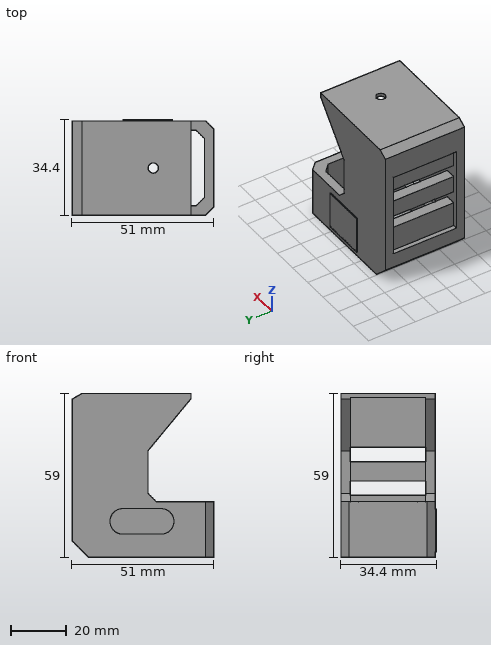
import cadquery as cq

length = 51.0
height = 59.0
depth = 34.0
center_y = depth / 2

top_length = 42.7
column_length = 27.25
base_height = 20.05
shoulder = 3.0
slope_bottom = 38.35
roof_thickness = 1.5
tip_height = 1.95
bottom_chamfer = 5.9
top_chamfer_x = 3.5
top_chamfer_z = 2.0
corner_chamfer = 3.0

wall = 3.5
inner_depth = depth - 2 * wall
inner_chamfer = 2.9
recess = 1.8
front_thickness = 6.0

recess_bottom = 12.0
recess_top = 47.1
vent_height = 5.1
vent_bottoms = (22.4, 34.5)

slot_length = 23.0
slot_height = 9.2
slot_x = 25.1
slot_z = 13.0
hole_diameter = 3.6
hole_x = 29.15
pad_thickness = 0.4
pad_start = 18.3
pad_length = 17.7
pad_bottom = 2.05
pad_height = 15.35


def box(x_size, y_size, z_size, corner):
    """Box placed by its lowest corner."""
    return cq.Workplane("XY").box(x_size, y_size, z_size, centered=False).translate(corner)


def make_body():
    outline = [
        (bottom_chamfer, 0),
        (length, 0),
        (length, base_height),
        (column_length + shoulder, base_height),
        (column_length, base_height + shoulder),
        (column_length, slope_bottom),
        (top_length, height - tip_height),
        (top_length, height),
        (top_chamfer_x, height),
        (0, height - top_chamfer_z),
        (0, bottom_chamfer),
    ]
    body = cq.Workplane("XZ").polyline(outline).close().extrude(-depth)
    return body.edges("|Z and >X").chamfer(corner_chamfer)


def make_cavity():
    """Interior open at the bottom and toward +X above the base."""
    cavity = box(
        length - wall - front_thickness,
        inner_depth,
        height - roof_thickness,
        (front_thickness, wall, 0),
    )
    return cavity.edges("|Z and >X").chamfer(inner_chamfer)


def make_window():
    """Shallow rectangular recess with two vents leading into the interior."""
    window = box(recess, inner_depth, recess_top - recess_bottom, (0, wall, recess_bottom))
    for bottom in vent_bottoms:
        window = window.union(box(front_thickness, inner_depth, vent_height, (0, wall, bottom)))
    return window


def make_side_slot():
    """Rounded slot through the -Y wall only."""
    slot = cq.Workplane("XZ").center(slot_x, slot_z).slot2D(slot_length, slot_height)
    return slot.extrude(-wall)


def make_roof_hole():
    hole = cq.Workplane("XY").center(hole_x, center_y).circle(hole_diameter / 2)
    return hole.extrude(height)


def make_pad():
    """Thin raised pad on the +Y wall."""
    return box(pad_length, pad_thickness, pad_height, (pad_start, depth, pad_bottom))


result = (
    make_body()
    .cut(make_cavity())
    .cut(make_window())
    .cut(make_side_slot())
    .cut(make_roof_hole())
    .union(make_pad())
)